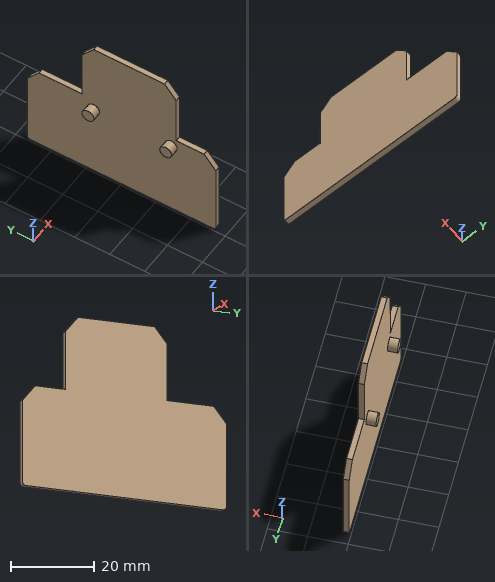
import cadquery as cq

width = 54.0
height = 43.5
thickness = 1.5
tab_near = 11.35
tab_far = 38.35
near_shoulder = 25.15
far_shoulder = 25.55

slope_run = 3.35
slope_drop = 3.95
bottom_radius = 0.8

peg_diameter = 3.4
peg_length = 2.5
peg_centers = [(12.75, 22.45), (35.0, 22.0)]


def make_plate():
    outline = [
        (0, 0),
        (0, near_shoulder - slope_drop),
        (slope_run, near_shoulder),
        (tab_near, near_shoulder),
        (tab_near, height - slope_drop),
        (tab_near + slope_run, height),
        (tab_far - slope_run, height),
        (tab_far, height - slope_drop),
        (tab_far, far_shoulder),
        (width - slope_run, far_shoulder),
        (width, far_shoulder - slope_drop),
        (width, 0),
    ]
    plate = cq.Workplane("YZ").polyline(outline).close().extrude(thickness)
    return plate.faces("<Z").edges("|X").fillet(bottom_radius)


def make_pegs():
    return cq.Workplane("YZ").pushPoints(peg_centers).circle(peg_diameter / 2).extrude(-peg_length)


result = make_plate().union(make_pegs())